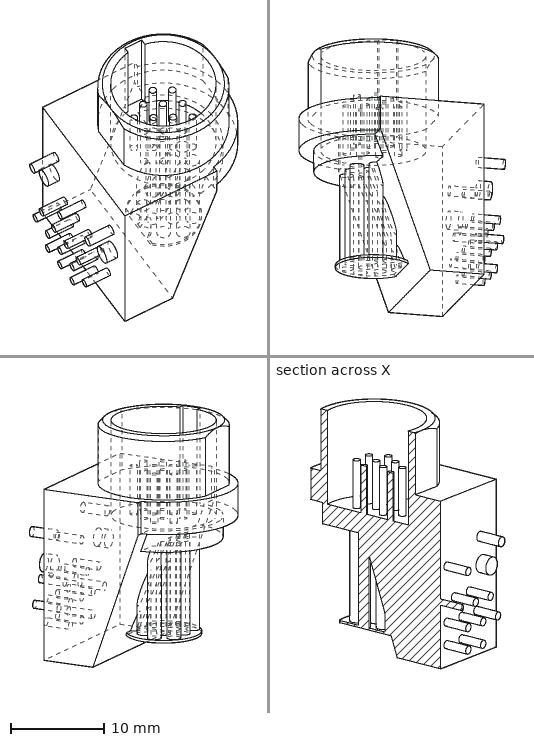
import cadquery as cq
import math


housing_width = 17.0
housing_height = 19.0
front_y = -10.0
housing_top_back_y = 1.55
housing_foot_back_y = -4.0
flange_radius = 8.0
flange_thickness = 3.6
flange_bottom = housing_height - flange_thickness

collar_radius = 7.05
collar_height = 7.0
collar_top = housing_height + collar_height
collar_chamfer = 0.5
collar_across_flats = 13.1
bore_radius = 5.65
bore_floor = flange_bottom
key_width = 2.1
key_reach = 6.2

contact_diameter = 0.8
contact_pitch = 2.1
contact_row_pitch = contact_pitch * math.sin(math.radians(60))
contact_first_row_y = 2.4
contact_row_counts = [3, 4, 3, 2]
contact_top = 20.8
post_diameter = 1.5
insert_radius = 6.4
insert_bottom = 13.0
end_plate_radius = 4.1
end_plate_thickness = 0.3
end_plate_bottom = 2.3

pin_diameter = 0.9
pin_length = 3.0
pin_pitch = 2.54
pin_first_row_z = 2.5
pin_row_counts = [3, 5, 4]
ground_pin_z = 11.39
shield_pin_diameter = 1.1
shield_pin_x = 5.7
shield_pin_z = 13.27
peg_diameter = 2.0
peg_length = 1.35
peg_x = 6.02
peg_z = 10.1


def upright_cylinder(radius, bottom, top, x=0, y=0):
    """Cylinder along Z between two heights."""
    base = cq.Workplane("XY", origin=(x, y, bottom))
    return base.circle(radius).extrude(top - bottom)


def front_cylinder(diameter, length, x, z):
    """Cylinder standing out of the front face toward -Y."""
    base = cq.Workplane("XZ", origin=(x, front_y, z))
    return base.circle(diameter / 2).extrude(length)


def row_positions(count, pitch):
    """Evenly spaced X positions centred on X = 0."""
    return [(i - (count - 1) / 2) * pitch for i in range(count)]


def make_housing():
    side_outline = [
        (front_y, 0),
        (housing_foot_back_y, 0),
        (housing_top_back_y, flange_bottom),
        (housing_top_back_y, housing_height),
        (front_y, housing_height),
    ]
    block = cq.Workplane("YZ").polyline(side_outline).close().extrude(housing_width / 2, both=True)
    flange = upright_cylinder(flange_radius, flange_bottom, housing_height)
    return block.union(flange)


def make_collar():
    collar = upright_cylinder(collar_radius, housing_height, collar_top)
    collar = collar.faces(">Z").chamfer(collar_chamfer)
    flats = cq.Workplane("XY", origin=(0, 0, housing_height))
    flats = flats.rect(2 * collar_radius, collar_across_flats).extrude(collar_height)
    return collar.intersect(flats)


def make_bore():
    bore = upright_cylinder(bore_radius, bore_floor, collar_top)
    key = cq.Workplane("XY", origin=(-key_reach / 2, 0, bore_floor))
    key = key.rect(key_reach, key_width).extrude(collar_top - bore_floor)
    return bore.union(key)


def add_contacts(body):
    for row, count in enumerate(contact_row_counts):
        y = contact_first_row_y - row * contact_row_pitch
        for x in row_positions(count, contact_pitch):
            body = body.union(upright_cylinder(contact_diameter / 2, bore_floor, contact_top, x, y))
            body = body.union(upright_cylinder(post_diameter / 2, end_plate_bottom, insert_bottom, x, y))
    return body


def add_front_pins(body):
    for row, count in enumerate(pin_row_counts):
        z = pin_first_row_z + row * pin_pitch
        for x in row_positions(count, pin_pitch):
            body = body.union(front_cylinder(pin_diameter, pin_length, x, z))
    body = body.union(front_cylinder(pin_diameter, pin_length, 0, ground_pin_z))
    for side in (-1, 1):
        body = body.union(front_cylinder(shield_pin_diameter, pin_length, side * shield_pin_x, shield_pin_z))
        body = body.union(front_cylinder(peg_diameter, peg_length, side * peg_x, peg_z))
    return body


def make_insert():
    insert = upright_cylinder(insert_radius, insert_bottom, flange_bottom)
    end_plate_top = end_plate_bottom + end_plate_thickness
    end_plate = upright_cylinder(end_plate_radius, end_plate_bottom, end_plate_top)
    return insert.union(end_plate)


body = make_housing().union(make_collar()).union(make_insert()).cut(make_bore())
body = add_contacts(body)
result = add_front_pins(body)